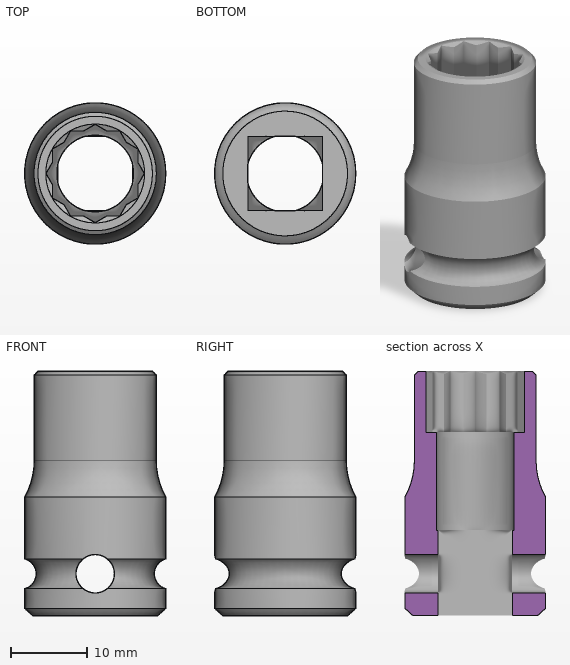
import cadquery as cq
import math

height = 32.0

body_radius = 9.25
nose_radius = 8.0
shoulder_bottom = 15.52
shoulder_top = 20.3
base_chamfer_height = 1.0
base_chamfer_width = 1.1
nose_chamfer = 0.5

groove_z = 5.5
groove_arc_radius = 2.0
groove_floor_radius = 7.75
pin_hole_diameter = 5.0

socket_flats = 11.15
socket_depth = 8.0
lead_in_radius = 6.45
lead_in_slope = 30.0

drive_square = 9.73
drive_depth = 11.2
bore_diameter = 10.05


def make_body():
    """Revolve the outer profile, with a concave arc tangent to the nose."""
    rise = shoulder_top - shoulder_bottom
    step = body_radius - nose_radius
    arc_radius = (rise**2 + step**2) / (2 * step)
    half_sweep = math.asin(rise / arc_radius) / 2
    arc_middle = (
        nose_radius + arc_radius * (1 - math.cos(half_sweep)),
        shoulder_top - arc_radius * math.sin(half_sweep),
    )
    profile = (
        cq.Workplane("XZ")
        .lineTo(body_radius - base_chamfer_width, 0)
        .lineTo(body_radius, base_chamfer_height)
        .lineTo(body_radius, shoulder_bottom)
        .threePointArc(arc_middle, (nose_radius, shoulder_top))
        .lineTo(nose_radius, height - nose_chamfer)
        .lineTo(nose_radius - nose_chamfer, height)
        .lineTo(0, height)
        .close()
    )
    return profile.revolve(360, (0, 0), (0, 1))


def make_groove():
    """Ring of circular section around the drive end."""
    ring_radius = groove_floor_radius + groove_arc_radius
    section = cq.Workplane("XZ").center(ring_radius, groove_z).circle(groove_arc_radius)
    return section.revolve(360, (-ring_radius, 0), (-ring_radius, 1))


def make_pin_hole():
    """Cross hole right through the body along Y."""
    hole = cq.Workplane("XZ").center(0, groove_z).circle(pin_hole_diameter / 2)
    return hole.extrude(body_radius, both=True)


def make_socket():
    """Two hexagons turned 30 degrees apart, plus the lead-in cone."""
    corner_diameter = socket_flats / math.cos(math.pi / 6)
    floor = cq.Workplane("XY").workplane(offset=height - socket_depth)
    hexagon = floor.polygon(6, corner_diameter).extrude(socket_depth)
    turned_hexagon = hexagon.rotate((0, 0, 0), (0, 0, 1), 30)
    cone_depth = lead_in_radius * math.tan(math.radians(lead_in_slope))
    lead_in = (
        cq.Workplane("XZ")
        .moveTo(0, height - cone_depth)
        .lineTo(lead_in_radius, height)
        .lineTo(0, height)
        .close()
        .revolve(360, (0, 0), (0, 1))
    )
    return hexagon.union(turned_hexagon).union(lead_in)


def make_drive():
    """Square drive recess in the base, continued by the round bore."""
    square = cq.Workplane("XY").rect(drive_square, drive_square).extrude(drive_depth)
    bore = (
        cq.Workplane("XY")
        .workplane(offset=drive_depth)
        .circle(bore_diameter / 2)
        .extrude(height - socket_depth - drive_depth)
    )
    return square.union(bore)


result = (
    make_body()
    .cut(make_groove())
    .cut(make_socket())
    .cut(make_drive())
    .cut(make_pin_hole())
)